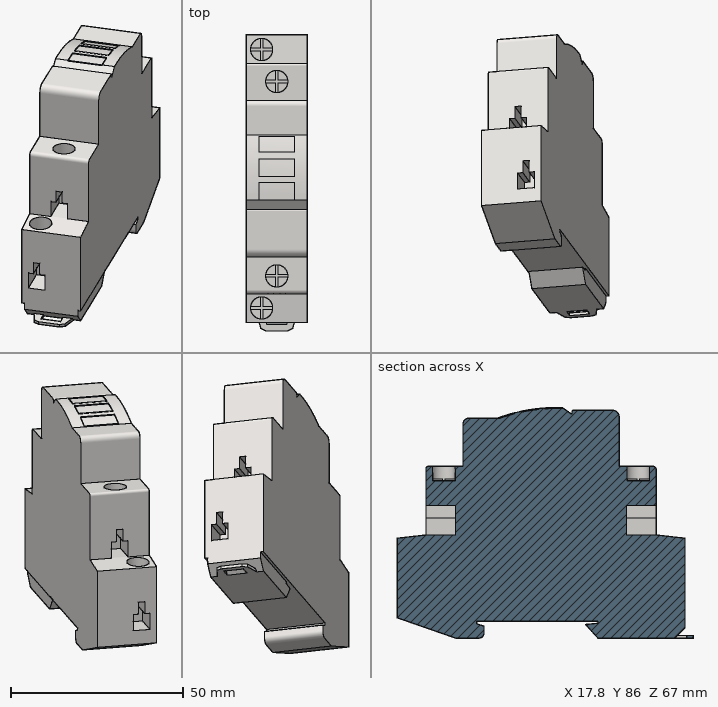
import cadquery as cq
import math


body_width = 17.8
base_half = 41.8
middle_half = 33.45
top_half = 22.7
base_top_outer = 29.1
base_top_inner = 30.0
middle_top = 50.0
rear_top = 63.9
front_top = 66.2
middle_rear_round = 0.8
middle_front_round = 1.1
rear_top_round = 1.7
front_top_round = 2.1

dome_top = 67.0
dome_rear = 12.7
dome_front = -4.4
crest_front = -6.1
notch_y = -8.95
notch_bottom = 65.0
notch_round = 0.5

window_width = 10.2
window_depth = 0.3
window_spans = [(7.7, 12.3), (0.7, 5.8), (crest_front, -1.1)]

rail_face = 4.9
hook_front = 16.5
hook_heel = 24.8
hook_back_top = 5.9
hook_round = 1.6
hook_lip_top = 3.5
throat_rear = 18.7
throat_top = 4.2

latch_inset = 0.9
latch_width = body_width - 2 * latch_inset
latch_rear = -16.5
latch_tip = -12.8
latch_tip_top = 4.0
latch_shoulder = 4.4
latch_chamfer = 3.0
latch_bottom_front = -base_half + latch_chamfer

tab_thickness = 0.9
tab_tip = -44.2
tab_corner = -43.4
tab_overlap = 0.9
tab_root = latch_bottom_front + tab_overlap
tab_tip_half = 3.2
tab_corner_half = 4.65
tab_root_half = 6.3
slot_width = 5.9
slot_front = -42.2

screw_diameter = 6.45
cross_width = 0.8
cross_depth = 0.5
base_port_x = -4.4
base_screw_y = 37.5
base_screw_floor = 23.2
middle_port_x = 0.0
middle_screw_y = 28.2
middle_screw_floor = 46.3
terminal_width = 5.0
terminal_height = 4.9
terminal_slit_width = 1.9
terminal_slit_height = 3.6
terminal_depth = 8.6
base_terminal_bottom = 10.15
middle_terminal_bottom = base_top_inner


def extrude_across(sketch, width):
    """Extrude a closed Y-Z outline by the given width, centred on X = 0."""
    return sketch.extrude(width / 2, both=True)


def round_edge(solid, y, z, radius):
    """Round the edge that runs along X through (y, z)."""
    return solid.edges(cq.selectors.NearestToPointSelector((0, y, z))).fillet(radius)


def dome_arc_middle():
    """Point halfway along the dome arc, which is level where it meets the crest."""
    run = dome_rear - dome_front
    rise = dome_top - rear_top
    radius = (run**2 + rise**2) / (2 * rise)
    half_angle = math.asin(run / radius) / 2
    return (
        dome_front + radius * math.sin(half_angle),
        dome_top - radius * (1 - math.cos(half_angle)),
    )


def make_housing():
    outline = (
        cq.Workplane("YZ")
        .moveTo(base_half, hook_back_top)
        .lineTo(base_half, base_top_outer)
        .lineTo(middle_half, base_top_inner)
        .lineTo(middle_half, middle_top)
        .lineTo(top_half, middle_top)
        .lineTo(top_half, rear_top)
        .lineTo(dome_rear, rear_top)
        .threePointArc(dome_arc_middle(), (dome_front, dome_top))
        .lineTo(crest_front, dome_top)
        .lineTo(notch_y, notch_bottom)
        .lineTo(notch_y, front_top)
        .lineTo(-top_half, front_top)
        .lineTo(-top_half, middle_top)
        .lineTo(-middle_half, middle_top)
        .lineTo(-middle_half, base_top_inner)
        .lineTo(-base_half, base_top_outer)
        .lineTo(-base_half, rail_face)
        .lineTo(throat_rear, rail_face)
        .lineTo(throat_rear, throat_top)
        .lineTo(hook_front, hook_lip_top)
        .lineTo(hook_front, 0)
        .lineTo(hook_heel, 0)
        .close()
    )
    rounded_edges = [
        (middle_half, middle_top, middle_rear_round),
        (-middle_half, middle_top, middle_front_round),
        (top_half, rear_top, rear_top_round),
        (-top_half, front_top, front_top_round),
        (notch_y, front_top, notch_round),
        (hook_front, 0, hook_round),
    ]
    housing = extrude_across(outline, body_width)
    for y, z, radius in rounded_edges:
        housing = round_edge(housing, y, z, radius)
    return housing


def make_latch():
    outline = cq.Workplane("YZ").polyline([
        (-base_half, rail_face),
        (latch_rear, rail_face),
        (latch_rear, latch_shoulder),
        (latch_tip, latch_tip_top),
        (latch_rear, 0),
        (latch_bottom_front, 0),
        (-base_half, latch_chamfer),
    ]).close()
    return extrude_across(outline, latch_width)


def make_pull_tab():
    plate = cq.Workplane("XY").polyline([
        (-tab_root_half, tab_root),
        (-tab_corner_half, tab_corner),
        (-tab_tip_half, tab_tip),
        (tab_tip_half, tab_tip),
        (tab_corner_half, tab_corner),
        (tab_root_half, tab_root),
    ]).close().extrude(tab_thickness)
    slot = cq.Workplane("XY").box(
        slot_width, latch_bottom_front - slot_front, tab_thickness, centered=(True, False, False)
    )
    slot = slot.translate((0, slot_front, 0))
    return plate.cut(slot)


def make_window(front, rear):
    """Cutter for one label window; its floor follows the dome."""
    middle_y, middle_z = dome_arc_middle()
    above_floor = (
        cq.Workplane("YZ")
        .moveTo(dome_rear, rear_top - window_depth)
        .threePointArc((middle_y, middle_z - window_depth), (dome_front, dome_top - window_depth))
        .lineTo(crest_front, dome_top - window_depth)
        .lineTo(crest_front, dome_top)
        .lineTo(dome_rear, dome_top)
        .close()
    )
    column = cq.Workplane("XY").box(
        window_width, rear - front, dome_top, centered=(True, False, False)
    )
    return extrude_across(above_floor, window_width).intersect(column.translate((0, front, 0)))


def make_screw_well(x, y, floor, top):
    """Round well down to a screw head, with a cross slot in the head."""
    well = cq.Workplane("XY", origin=(x, y, floor)).circle(screw_diameter / 2).extrude(top - floor)
    slot_floor = cq.Workplane("XY", origin=(x, y, floor - cross_depth))
    head = slot_floor.circle(screw_diameter / 2).extrude(cross_depth)
    cross = slot_floor.rect(screw_diameter, cross_width).extrude(cross_depth)
    cross = cross.union(slot_floor.rect(cross_width, screw_diameter).extrude(cross_depth))
    return well.union(head.intersect(cross))


def make_terminal(x, bottom, face_half):
    """Wire opening in the front face: a square mouth with a narrow slit above it."""
    mouth_half = terminal_width / 2
    slit_half = terminal_slit_width / 2
    shoulder = bottom + terminal_height
    slit_top = shoulder + terminal_slit_height
    return (
        cq.Workplane("XZ", origin=(x, -face_half, 0))
        .polyline([
            (-mouth_half, bottom),
            (mouth_half, bottom),
            (mouth_half, shoulder),
            (slit_half, shoulder),
            (slit_half, slit_top),
            (-slit_half, slit_top),
            (-slit_half, shoulder),
            (-mouth_half, shoulder),
        ])
        .close()
        .extrude(-terminal_depth)
    )


result = make_housing().union(make_latch()).union(make_pull_tab())

for window_front, window_rear in window_spans:
    result = result.cut(make_window(window_front, window_rear))

openings = [
    make_screw_well(base_port_x, -base_screw_y, base_screw_floor, base_top_inner),
    make_screw_well(middle_port_x, -middle_screw_y, middle_screw_floor, middle_top),
    make_terminal(base_port_x, base_terminal_bottom, base_half),
    make_terminal(middle_port_x, middle_terminal_bottom, middle_half),
]
for opening in openings:
    result = result.cut(opening).cut(opening.mirror("XZ"))